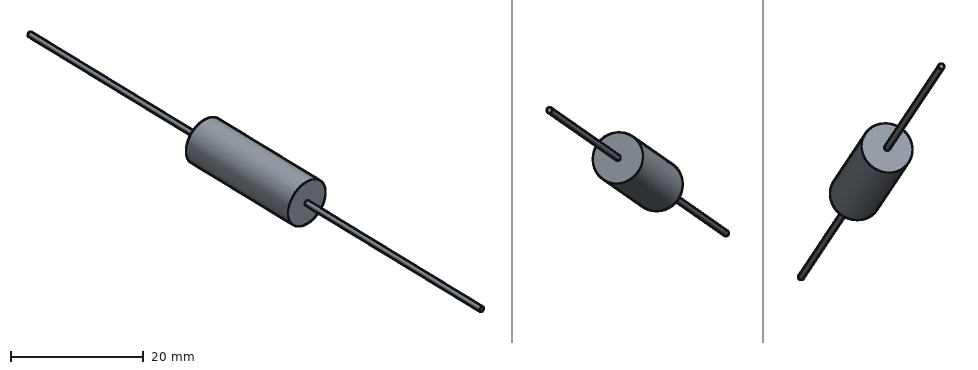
import cadquery as cq

overall_length = 98.4
housing_diameter = 7.9
housing_length = 22.2
lead_diameter = 0.91

lead_length = (overall_length - housing_length) / 2


def cylinder_along_x(diameter, length, start_x):
    """Solid cylinder on the X axis, running toward +X from start_x."""
    return cq.Workplane("YZ", origin=(start_x, 0, 0)).circle(diameter / 2).extrude(length)


def make_housing():
    return cylinder_along_x(housing_diameter, housing_length, -housing_length / 2)


def make_lead(start_x):
    """Straight wire that butts against a flat end of the housing."""
    return cylinder_along_x(lead_diameter, lead_length, start_x)


housing = make_housing()
lead_starts = (-overall_length / 2, housing_length / 2)
leads = [make_lead(start_x) for start_x in lead_starts]

result = cq.Compound.makeCompound([housing.val(), *[lead.val() for lead in leads]])